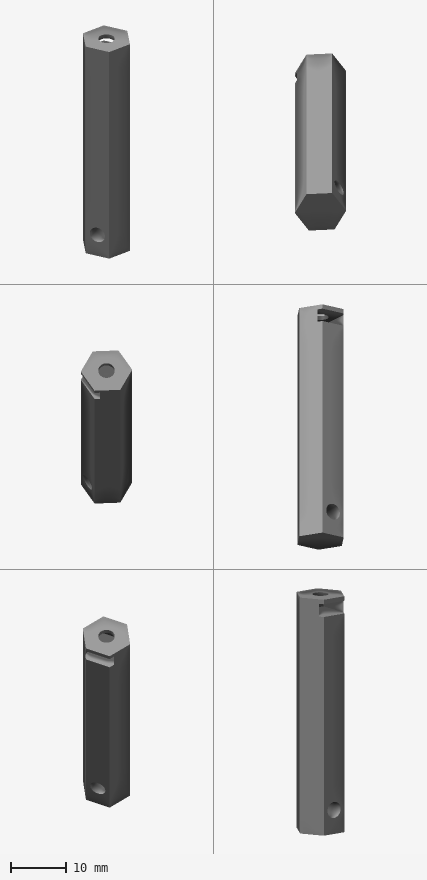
import cadquery as cq
import math

length = 44.0
across_flats = 8.1
across_corners = across_flats / math.cos(math.radians(30))

hole_diameter = 3.0
cross_hole_height = 4.5

pocket_width = 5.65
pocket_height = 2.38
pocket_roof = 0.85
pocket_end_y = -pocket_width / 2

axial_hole_depth = pocket_roof + pocket_height


def hex_body():
    return cq.Workplane("XY").polygon(6, across_corners).extrude(length)


def axial_hole():
    return (
        cq.Workplane("XY")
        .workplane(offset=length - axial_hole_depth)
        .circle(hole_diameter / 2)
        .extrude(axial_hole_depth)
    )


def cross_hole():
    return (
        cq.Workplane("XZ")
        .center(0, cross_hole_height)
        .circle(hole_diameter / 2)
        .extrude(across_flats / 2, both=True)
    )


def nut_pocket():
    pocket_depth = across_flats / 2 - pocket_end_y
    center_y = pocket_end_y + pocket_depth / 2
    center_z = length - pocket_roof - pocket_height / 2
    return (
        cq.Workplane("XY")
        .box(pocket_width, pocket_depth, pocket_height)
        .translate((0, center_y, center_z))
    )


result = hex_body().cut(axial_hole()).cut(cross_hole()).cut(nut_pocket())